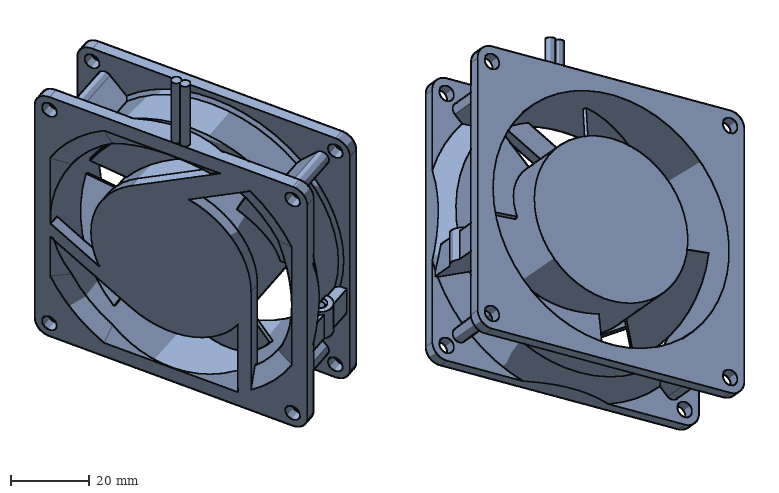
import cadquery as cq
import math

frame_size = 80.0
frame_depth = 25.3
total_height = 100.0
half_frame = frame_size / 2

flange_thickness = 3.3
rear_flange_y = frame_depth - flange_thickness
hole_offset = 35.7
hole_diameter = 4.3
corner_radius = half_frame - hole_offset

duct_outer_radius = 37.2
front_cone_end_y = 10.2
front_cone_radius = 42.0
rear_cone_rise = 1.0

opening_half_width = 35.5
opening_corner_radius = 40.6
throat_radius = 35.4
opening_depth = 2.0
opening_inset = opening_corner_radius - throat_radius
opening_taper = math.degrees(math.atan(opening_inset / opening_depth))

web_thickness = 4.0
web_tip_radius = 47.1

hub_radius = 23.5
rotor_radius = 23.0
strut_widths = (3.9, 6.3, 3.9)
strut_length = 45.0

blade_count = 4
blade_radius = 34.4
blade_thickness = 1.0
blade_tilt = 22.0
blade_axis_y = 15.2
blade_trailing_angle = 84.8
blade_tip_angle = 145.8
blade_tip_edge_slope = 26.0
blade_tip_edge_run = 14.0
blade_root_radius = 15.0

wire_diameter = 2.7
wire_spacing = 2.6
wire_pair_x = 2.1
wire_embed = 1.0

boss_inner_x = 33.0
boss_outer_x = 39.1
boss_bottom_z = -17.0
boss_top_z = -9.0
eyelet_top_z = -8.0
eyelet_center_x = 36.5
eyelet_center_y = 12.7
eyelet_radius = half_frame - eyelet_center_x
eyelet_mouth_radius = 1.9
eyelet_bore_radius = 1.3
eyelet_bore_depth = 4.0


def face_at(y):
    """Sketch plane at depth y; local axes are X and Z, and extrude(-d) goes toward +Y."""
    return cq.Workplane("XZ", origin=(0, y, 0))


def spin(shape, angle):
    """Turn a shape about the fan axis, counter-clockwise as seen from the front."""
    return shape.rotate((0, 0, 0), (0, -1, 0), angle)


def polar(radius, angle):
    return radius * math.cos(math.radians(angle)), radius * math.sin(math.radians(angle))


def make_flange(y):
    plate = face_at(y).rect(frame_size, frame_size).extrude(-flange_thickness)
    return plate.edges("|Y").fillet(corner_radius)


def make_duct():
    """Solid of revolution between the flanges, trimmed to the square of the frame."""
    profile = [
        (0, flange_thickness),
        (front_cone_radius, flange_thickness),
        (duct_outer_radius, front_cone_end_y),
        (duct_outer_radius, rear_flange_y - rear_cone_rise),
        (duct_outer_radius + rear_cone_rise, rear_flange_y),
        (0, rear_flange_y),
    ]
    duct = cq.Workplane("XY").polyline(profile).close().revolve(360, (0, 0, 0), (0, 1, 0))
    envelope = face_at(0).rect(frame_size, frame_size).extrude(-frame_depth)
    return duct.intersect(envelope)


def make_web(angle):
    """One bar across the full diagonal; its rounded ends stand outside the duct."""
    bar = face_at(flange_thickness).slot2D(2 * web_tip_radius, web_thickness, angle)
    return bar.extrude(-(rear_flange_y - flange_thickness))


def make_boss():
    size_x = boss_outer_x - boss_inner_x
    size_y = rear_flange_y - flange_thickness
    size_z = boss_top_z - boss_bottom_z
    corner = (boss_inner_x, flange_thickness, boss_bottom_z)
    return cq.Workplane("XY", origin=corner).box(size_x, size_y, size_z, centered=False)


def make_eyelet():
    """Upright round post along the boss."""
    height = eyelet_top_z - boss_bottom_z
    base = cq.Workplane("XY", origin=(eyelet_center_x, eyelet_center_y, boss_bottom_z))
    return base.circle(eyelet_radius).extrude(height)


def make_eyelet_hole():
    """Countersunk hole in the top of the post, tapering to a point."""
    countersink_z = eyelet_top_z - (eyelet_mouth_radius - eyelet_bore_radius)
    profile = [
        (0, eyelet_top_z),
        (eyelet_mouth_radius, eyelet_top_z),
        (eyelet_bore_radius, countersink_z),
        (0, countersink_z - eyelet_bore_depth),
    ]
    hole = cq.Workplane("XZ").polyline(profile).close().revolve(360, (0, 0, 0), (0, 1, 0))
    return hole.translate((eyelet_center_x, eyelet_center_y, 0))


def make_opening():
    """Air passage: the sloped front opening followed by the round throat."""
    pyramid = face_at(0).rect(2 * opening_half_width, 2 * opening_half_width)
    cone = face_at(0).circle(opening_corner_radius)
    front = pyramid.extrude(-opening_depth, taper=opening_taper).intersect(
        cone.extrude(-opening_depth, taper=opening_taper)
    )
    throat = face_at(0).circle(throat_radius).extrude(-frame_depth)
    return front.union(throat)


def make_hub():
    hub = face_at(0).circle(hub_radius).extrude(-flange_thickness)
    for index, width in enumerate(strut_widths):
        strut = face_at(0).center(hub_radius - width / 2, -strut_length / 2)
        strut = strut.rect(width, strut_length).extrude(-flange_thickness)
        hub = hub.union(spin(strut, index * 360 / len(strut_widths)))
    rotor = face_at(0).circle(rotor_radius).extrude(-frame_depth)
    return hub.intersect(make_flange(0)).union(rotor)


def make_blade():
    """The upper blade; its outline is drawn in the XZ plane and then tilted about a vertical line."""
    tip_x, tip_z = polar(blade_radius, blade_tip_angle)
    tip_edge_drop = blade_tip_edge_run * math.tan(math.radians(blade_tip_edge_slope))
    middle_angle = (blade_trailing_angle + blade_tip_angle) / 2
    plate = (
        face_at(0)
        .moveTo(*polar(blade_root_radius, blade_trailing_angle))
        .lineTo(*polar(blade_radius, blade_trailing_angle))
        .threePointArc(polar(blade_radius, middle_angle), (tip_x, tip_z))
        .lineTo(tip_x + blade_tip_edge_run, tip_z - tip_edge_drop)
        .close()
        .extrude(-blade_thickness)
    )
    return plate.rotate((0, 0, 0), (0, 0, 1), blade_tilt).translate((0, blade_axis_y, 0))


def make_wire(x):
    base = cq.Workplane("XY", origin=(x, wire_diameter / 2, half_frame - wire_embed))
    return base.circle(wire_diameter / 2).extrude(total_height - frame_size + wire_embed)


frame = make_flange(0).union(make_flange(rear_flange_y)).union(make_duct())
for web_angle in (45, 135):
    frame = frame.union(make_web(web_angle))
frame = frame.union(make_boss()).union(make_eyelet()).cut(make_eyelet_hole())

frame = frame.cut(make_opening())
hole_square = face_at(0).rect(2 * hole_offset, 2 * hole_offset, forConstruction=True)
frame = frame.cut(hole_square.vertices().circle(hole_diameter / 2).extrude(-frame_depth))

result = frame.union(make_hub())
for blade_index in range(blade_count):
    result = result.union(spin(make_blade(), blade_index * 360 / blade_count))
for side in (-1, 1):
    result = result.union(make_wire(wire_pair_x + side * wire_spacing / 2))